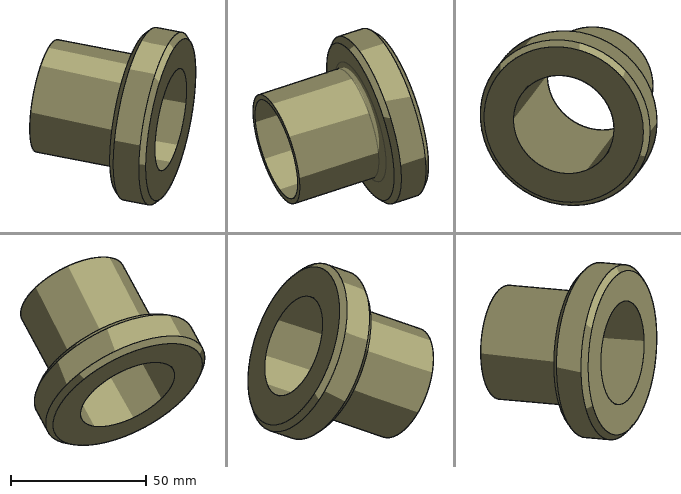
import cadquery as cq

total_length = 48.0
flange_diameter = 65.0
flange_thickness = 14.0
flange_chamfer = 2.0
tube_diameter = 42.4
bore_diameter = 38.4
root_radius = 2.0

flange_start = total_length - flange_thickness
flange_radius = flange_diameter / 2
tube_radius = tube_diameter / 2
bore_radius = bore_diameter / 2

half_section = (
    cq.Workplane("XY")
    .moveTo(0, bore_radius)
    .lineTo(0, tube_radius)
    .lineTo(flange_start - root_radius, tube_radius)
    .radiusArc((flange_start, tube_radius + root_radius), -root_radius)
    .lineTo(flange_start, flange_radius - flange_chamfer)
    .lineTo(flange_start + flange_chamfer, flange_radius)
    .lineTo(total_length - flange_chamfer, flange_radius)
    .lineTo(total_length, flange_radius - flange_chamfer)
    .lineTo(total_length, bore_radius)
    .close()
)

result = half_section.revolve(360, (0, 0, 0), (1, 0, 0))